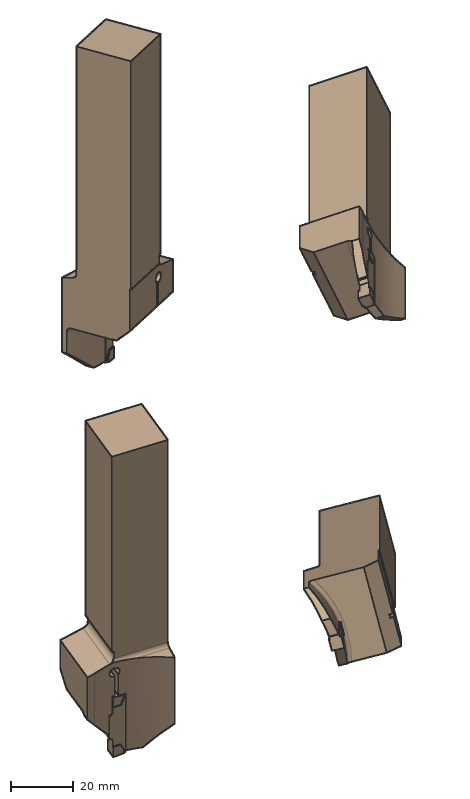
import cadquery as cq
import math

total_height = 125.0
shank_left = 5.2
shank_right = 25.2
shank_depth = 20.0
head_right = 24.9
head_depth = 29.1
head_bottom = 19.8
head_chamfer = 4.9
back_step_z = 40.1

shoulder_slope = math.tan(math.radians(15))
left_shoulder_z = 37.8
rear_shoulder_z = 36.6
left_shoulder_radius = 1.6
rear_shoulder_radius = 2.5
relief_depth = 0.9
relief_top_z = 43.5

blade_bottom = 1.0
apex_y = 20.0
outer_apex_x = 4.6
inner_apex_x = 7.9
inner_edge_x = 1.8
flat_x = 4.1
blade_root_radius = 1.5
front_bevel_z = 10.1
front_bevel_y = 9.8
rear_bevel_z = 18.9

insert_length = 25.0
end_relief = 0.4
seat_y = 15.4
rake_y = 20.0
ridge_y = 21.1
ridge_start_z = 6.9
ridge_ramp = 1.1
insert_left = 4.5
insert_right = 7.8
tip_left = 4.1
tip_right = 8.2
tip_inner_y = 16.1
tip_ramp_y = 17.2
tip_ramp_z = 1.6
tip_height = 4.2
jaw_end_z = 8.9

slit_front_y = 18.0
slit_width = 1.1
relief_hole_y = 19.2
relief_hole_z = 34.9
relief_hole_radius = 1.8

margin = 1.2
corner_z = left_shoulder_z + shank_left * shoulder_slope
relief_y = shank_depth - relief_depth
rear_corner_z = rear_shoulder_z + (head_depth - relief_y) * shoulder_slope


def prism_along_x(points, start, end):
    """Extrude a (y, z) outline between two x positions."""
    return cq.Workplane("YZ", origin=(start, 0, 0)).polyline(points).close().extrude(end - start)


def make_front_profile():
    points = [
        (0, 0),
        (head_right - head_chamfer, 0),
        (head_right - head_chamfer, head_bottom),
        (head_right, head_bottom + head_chamfer),
        (head_right, back_step_z),
        (shank_right, back_step_z),
        (shank_right, total_height),
        (shank_left, total_height),
        (shank_left, corner_z),
        (0, left_shoulder_z),
    ]
    body = cq.Workplane("XZ").polyline(points).close().extrude(-head_depth)
    corner = (shank_left, head_depth / 2, corner_z)
    return body.edges(cq.NearestToPointSelector(corner)).fillet(left_shoulder_radius)


def make_side_profile():
    points = [
        (0, front_bevel_z),
        (front_bevel_y, blade_bottom),
        (seat_y, blade_bottom),
        (ridge_y, jaw_end_z),
        (head_depth, rear_bevel_z),
        (head_depth, rear_shoulder_z),
        (relief_y, rear_corner_z),
        (relief_y, relief_top_z - relief_depth),
        (shank_depth, relief_top_z),
        (shank_depth, total_height),
        (0, total_height),
    ]
    body = prism_along_x(points, 0, shank_right)
    corner = (shank_right / 2, relief_y, rear_corner_z)
    return body.edges(cq.NearestToPointSelector(corner)).fillet(rear_shoulder_radius)


def make_outer_curve_cut():
    """Concave cylindrical face on the -X side, running out into a flat."""
    radius = (apex_y**2 + outer_apex_x**2) / (2 * outer_apex_x)
    center_x = outer_apex_x - radius
    flat_start_y = apex_y + math.sqrt(radius**2 - (flat_x - center_x) ** 2)
    return (
        cq.Workplane("XY")
        .moveTo(0, 0)
        .threePointArc((outer_apex_x, apex_y), (flat_x, flat_start_y))
        .lineTo(flat_x, head_depth + margin)
        .lineTo(-margin, head_depth + margin)
        .lineTo(-margin, 0)
        .close()
        .extrude(corner_z + margin)
    )


def make_inner_curve_cut():
    """Space behind the blade, with a rounded root under the head."""
    cut = (
        cq.Workplane("XY")
        .moveTo(inner_edge_x, 0)
        .threePointArc((inner_apex_x, apex_y), (inner_edge_x, 2 * apex_y))
        .lineTo(shank_right + margin, 2 * apex_y)
        .lineTo(shank_right + margin, 0)
        .close()
        .extrude(head_bottom)
    )
    root = (inner_apex_x, apex_y, head_bottom)
    return cut.edges(cq.NearestToPointSelector(root)).fillet(blade_root_radius)


def make_slit():
    hole = (
        cq.Workplane("YZ")
        .center(relief_hole_y, relief_hole_z)
        .circle(relief_hole_radius)
        .extrude(shank_right)
    )
    slot_points = [
        (slit_front_y, insert_length - margin),
        (slit_front_y + slit_width, insert_length - margin),
        (slit_front_y + slit_width, relief_hole_z),
        (slit_front_y, relief_hole_z),
    ]
    return hole.union(prism_along_x(slot_points, 0, shank_right))


def make_insert_prism(start, end):
    upper_z = insert_length - ridge_start_z
    points = [
        (seat_y, end_relief),
        (rake_y, 0),
        (rake_y, ridge_start_z),
        (ridge_y, ridge_start_z + ridge_ramp),
        (ridge_y, upper_z - ridge_ramp),
        (rake_y, upper_z),
        (rake_y, insert_length),
        (seat_y, insert_length - end_relief),
    ]
    return prism_along_x(points, start, end)


def make_insert():
    tip_end_z = end_relief * (rake_y - tip_inner_y) / (rake_y - seat_y)
    tip_points = [
        (tip_inner_y, tip_end_z),
        (rake_y, 0),
        (rake_y, tip_height),
        (tip_ramp_y, tip_height),
        (tip_inner_y, tip_ramp_z),
    ]
    tip = prism_along_x(tip_points, tip_left, tip_right)
    mid_height = (0, 0, insert_length / 2)
    upper_tip = tip.mirror("XY", mid_height)
    return make_insert_prism(insert_left, insert_right).union(tip).union(upper_tip)


def make_holder():
    body = make_front_profile().intersect(make_side_profile())
    body = body.cut(make_outer_curve_cut()).cut(make_inner_curve_cut())
    seat = make_insert_prism(0, tip_right)
    return body.cut(seat).cut(make_slit())


holder = make_holder()
insert = make_insert()
result = cq.Compound.makeCompound([holder.solids().val(), insert.solids().val()])